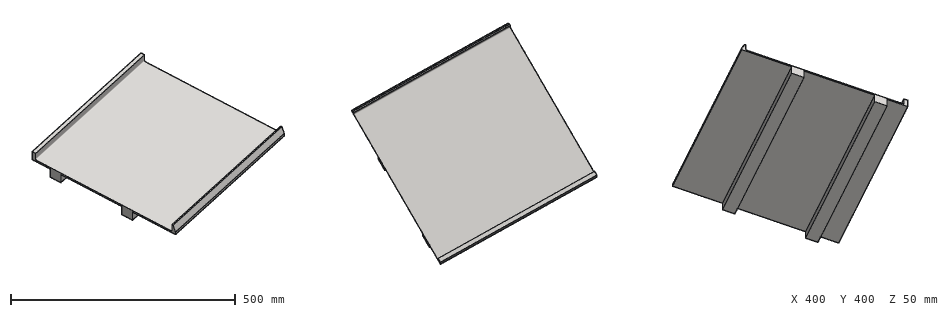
import cadquery as cq

length = 400.0
width = 400.0
height = 50.0

tray_height = height / 2
rim_thickness = 10.0
floor_thickness = rim_thickness / 2
inner_fillet = 2.5

sloped_rim_top = 3.0
sloped_rim_edge_height = 8.0

foot_width = 30.0
foot_height = height - tray_height
first_foot_start = 50.0
foot_spacing = length / 2


def make_tray():
    """Extrude the tray section along Y, with the underside of the floor at Z = 0."""
    left_inner = rim_thickness
    right_inner = length - rim_thickness
    section = [
        (0, 0),
        (length, 0),
        (length, sloped_rim_edge_height),
        (right_inner + sloped_rim_top, tray_height),
        (right_inner, tray_height),
        (right_inner, floor_thickness),
        (left_inner, floor_thickness),
        (left_inner, tray_height),
        (0, tray_height),
    ]
    tray = cq.Workplane("XZ").polyline(section).close().extrude(-width)
    for x in (left_inner, right_inner):
        corner = cq.selectors.NearestToPointSelector((x, width / 2, floor_thickness))
        tray = tray.edges(corner).fillet(inner_fillet)
    return tray


def make_foot(start):
    """Runner whose -X face is at the given X position."""
    return (
        cq.Workplane("XY")
        .box(foot_width, width, foot_height, centered=False)
        .translate((start, 0, -foot_height))
    )


result = make_tray()
for start in (first_foot_start, first_foot_start + foot_spacing):
    result = result.union(make_foot(start))